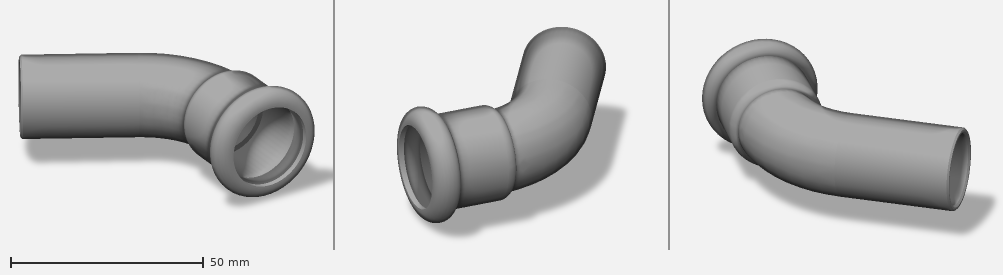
import cadquery as cq
import math

tube_diameter = 22.0
bore_diameter = 19.0
bend_radius = 26.35
bend_angle = 60
spigot_length = 30.8
edge_chamfer = 0.5

socket_end = 20.75
socket_diameter = 25.3
socket_bore_diameter = 22.3
socket_start = -3.4
shoulder_radius = 3.15
bead_diameter = 30.8
bead_width = 7.45
bead_wall = (socket_diameter - socket_bore_diameter) / 2

tube_radius = tube_diameter / 2
bore_radius = bore_diameter / 2
socket_radius = socket_diameter / 2
socket_bore_radius = socket_bore_diameter / 2
bead_start = socket_end - bead_width
bead_round = bead_width / 2
bead_center_radius = bead_diameter / 2 - bead_round
bead_groove_round = bead_round - bead_wall
bead_center_x = socket_end - bead_round
socket_floor = socket_start + shoulder_radius


def revolve_about_x(profile):
    """Turn a closed profile in the XY plane around the X axis."""
    return profile.close().revolve(360, (0, 0, 0), (1, 0, 0))


def bent_rod(radius):
    """Round rod through the straight spigot, the bend and into the socket."""
    turn = math.radians(bend_angle)
    bend_end = (-bend_radius * math.sin(turn), -bend_radius * (1 - math.cos(turn)))
    bend_middle = (
        -bend_radius * math.sin(turn / 2),
        -bend_radius * (1 - math.cos(turn / 2)),
    )
    spigot_end = (
        bend_end[0] - spigot_length * math.cos(turn),
        bend_end[1] - spigot_length * math.sin(turn),
    )
    path = (
        cq.Workplane("XY")
        .moveTo(0, 0)
        .threePointArc(bend_middle, bend_end)
        .lineTo(*spigot_end)
    )
    return cq.Workplane("YZ").circle(radius).sweep(path)


def socket_body():
    """Socket outline with a rounded shoulder and a full-round end bead."""
    profile = (
        cq.Workplane("XY")
        .moveTo(socket_start, 0)
        .lineTo(socket_start, socket_radius - shoulder_radius)
        .radiusArc((socket_floor, socket_radius), shoulder_radius)
        .lineTo(bead_start, socket_radius)
        .lineTo(bead_start, bead_center_radius)
        .threePointArc((bead_center_x, bead_diameter / 2), (socket_end, bead_center_radius))
        .lineTo(socket_end, 0)
    )
    return revolve_about_x(profile)


def socket_cavity():
    """Socket bore with a rounded seal groove inside the bead."""
    groove_start = bead_center_x - bead_groove_round
    groove_end = bead_center_x + bead_groove_round
    groove_top = bead_center_radius + bead_groove_round
    profile = (
        cq.Workplane("XY")
        .moveTo(socket_floor, 0)
        .lineTo(socket_floor, socket_bore_radius)
        .lineTo(groove_start, socket_bore_radius)
        .lineTo(groove_start, bead_center_radius)
        .threePointArc((bead_center_x, groove_top), (groove_end, bead_center_radius))
        .lineTo(groove_end, socket_bore_radius)
        .lineTo(socket_end, socket_bore_radius)
        .lineTo(socket_end, 0)
    )
    return revolve_about_x(profile)


tube = bent_rod(tube_radius).cut(bent_rod(bore_radius))
tube = tube.faces("<Y").edges().chamfer(edge_chamfer)

socket = socket_body().cut(bent_rod(bore_radius)).cut(socket_cavity())
result = tube.union(socket)